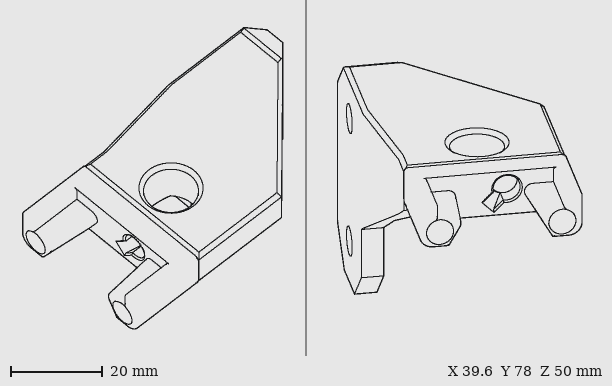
import cadquery as cq
import math


bracket_right = 39.5
bracket_front = 19.0
bracket_back = 78.0
bracket_height = 50.0
plate_thickness = 5.0
plate_width = 28.0
plate_corner_cut = 8.0
flange_thickness = 10.5
gusset_leg = 12.0
neck_left = 3.5
neck_back = 25.0
taper_back = 48.0
diagonal_front = 44.15
underside_low_z = -30.2
top_chamfer = 1.0
flange_fillet = 3.0
plate_front = bracket_back - plate_width

mount_hole_diameter = 6.6
mount_hole_y = bracket_back - plate_width / 2
upper_mount_hole_z = -10.0
lower_mount_hole_z = -40.0
screw_head_bore_diameter = 11.0

top_hole_diameter = 12.0
top_hole_x = 21.5
top_hole_y = 28.0
top_hole_chamfer = 1.0

fork_left = 3.45
fork_right = 39.63
fork_back = 18.75
fork_height = flange_thickness
fork_center_x = (fork_left + fork_right) / 2
arm_length = 13.0
fork_top_fillet = 1.0
fork_bottom_fillet = 3.0
tip_fillet = 0.6

arm_wall = 4.0
half_width = (fork_right - fork_left) / 2
half_window = half_width - arm_wall
wall_top_fillet = 0.6
shelf_depth = 3.5
nose_radius = 1.8
nose_reach_tip = 9.2
nose_reach_root = 10.45
flank_angle = math.radians(30)

screw_offset_x = 13.6
screw_z = -6.8
head_bore_diameter = 6.0
head_bore_depth = 15.0
screw_hole_diameter = 3.4

magnet_diameter = 6.0
magnet_depth = 4.0
magnet_x = 25.3
magnet_z = -4.2
pry_slot_width = 3.0
pry_slot_reach = 5.6
pry_slot_angle = 225
pocket_chamfer = 0.4
pry_floor_run = 3.0


def bracket_plan():
    """Outline seen from above, extruded over the full height."""
    return (
        cq.Workplane("XY")
        .polyline([
            (0, bracket_back),
            (plate_thickness, bracket_back),
            (bracket_right, diagonal_front),
            (bracket_right, bracket_front),
            (neck_left, bracket_front),
            (neck_left, neck_back),
            (0, taper_back),
        ])
        .close()
        .extrude(-bracket_height)
    )


def bracket_side():
    """Side outline: octagonal plate end with a sloping underside toward the fork."""
    return (
        cq.Workplane("YZ")
        .polyline([
            (bracket_front, 0),
            (bracket_back - plate_corner_cut, 0),
            (bracket_back, -plate_corner_cut),
            (bracket_back, plate_corner_cut - bracket_height),
            (bracket_back - plate_corner_cut, -bracket_height),
            (plate_front + plate_corner_cut, -bracket_height),
            (plate_front, plate_corner_cut - bracket_height),
            (plate_front, underside_low_z),
            (bracket_front, -flange_thickness),
        ])
        .close()
        .extrude(bracket_right)
    )


def bracket_section():
    """L section of plate and flange with a gusset in the corner and a rounded flange edge."""
    flange_corner = (bracket_right, bracket_back / 2, -flange_thickness)
    return (
        cq.Workplane("XZ")
        .polyline([
            (0, 0),
            (bracket_right, 0),
            (bracket_right, -flange_thickness),
            (plate_thickness + gusset_leg, -flange_thickness),
            (plate_thickness, -flange_thickness - gusset_leg),
            (plate_thickness, -bracket_height),
            (0, -bracket_height),
        ])
        .close()
        .extrude(-bracket_back)
        .edges(cq.selectors.NearestToPointSelector(flange_corner))
        .fillet(flange_fillet)
    )


def make_bracket():
    body = bracket_plan().intersect(bracket_side()).intersect(bracket_section())
    body = body.faces(">Z").edges().chamfer(top_chamfer)
    top_hole = (
        cq.Workplane("XY")
        .center(top_hole_x, top_hole_y)
        .circle(top_hole_diameter / 2)
        .extrude(-bracket_height)
    )
    countersink = (
        cq.Workplane("XY")
        .center(top_hole_x, top_hole_y)
        .circle(top_hole_diameter / 2 + top_hole_chamfer)
        .workplane(offset=-top_hole_chamfer)
        .circle(top_hole_diameter / 2)
        .loft()
    )
    mount_holes = (
        cq.Workplane("YZ")
        .pushPoints([(mount_hole_y, upper_mount_hole_z), (mount_hole_y, lower_mount_hole_z)])
        .circle(mount_hole_diameter / 2)
        .extrude(bracket_right)
    )
    head_bore = (
        cq.Workplane("YZ", origin=(plate_thickness, mount_hole_y, upper_mount_hole_z))
        .circle(screw_head_bore_diameter / 2)
        .extrude(bracket_right - plate_thickness)
    )
    return body.cut(top_hole).cut(countersink).cut(mount_holes).cut(head_bore)


def window_wire(y, nose_reach):
    """Opening between the two arms at one Y; nose_reach is how far each nose juts inward."""
    half_nose = half_width - nose_reach
    arc_x = half_nose + nose_radius
    arc_z = -shelf_depth - nose_radius
    reach_x = nose_radius * math.cos(flank_angle)
    reach_z = nose_radius * math.sin(flank_angle)
    tangent_x = arc_x - reach_x
    tangent_z = arc_z - reach_z
    foot_x = tangent_x + (tangent_z + fork_height) * math.tan(flank_angle)
    return (
        cq.Workplane("XZ", origin=(fork_center_x, y, 0))
        .moveTo(-half_window, 0)
        .lineTo(-half_window, -shelf_depth)
        .lineTo(-arc_x, -shelf_depth)
        .threePointArc((-arc_x + reach_x, arc_z + reach_z), (-tangent_x, tangent_z))
        .lineTo(-foot_x, -fork_height)
        .lineTo(foot_x, -fork_height)
        .lineTo(tangent_x, tangent_z)
        .threePointArc((arc_x - reach_x, arc_z + reach_z), (arc_x, -shelf_depth))
        .lineTo(half_window, -shelf_depth)
        .lineTo(half_window, 0)
        .close()
        .wire()
        .val()
    )


def fork_blank():
    blank = cq.Workplane("XY").box(
        fork_right - fork_left, fork_back, fork_height, centered=False
    ).translate((fork_left, 0, -fork_height))
    blank = blank.edges("|Y and >Z").fillet(fork_top_fillet)
    return blank.edges("|Y and <Z").fillet(fork_bottom_fillet)


def magnet_pocket():
    """Blind magnet hole with a diagonal pry slot, both with a chamfered mouth."""
    face = cq.Workplane("XZ", origin=(magnet_x, arm_length, magnet_z))
    hole = face.circle(magnet_diameter / 2).extrude(-magnet_depth)
    mouth = face.circle(magnet_diameter / 2 + pocket_chamfer).extrude(
        -pocket_chamfer, taper=45
    )
    ramp = (
        cq.Workplane("XY", origin=(magnet_x, arm_length, magnet_z - pry_slot_width / 2))
        .polyline([
            (0, 0),
            (pry_slot_reach, 0),
            (pry_slot_reach, pocket_chamfer),
            (pry_slot_reach - pry_floor_run, magnet_depth),
            (0, magnet_depth),
        ])
        .close()
        .extrude(pry_slot_width)
    )
    slot_mouth = (
        face.center((pry_slot_reach + pocket_chamfer) / 2, 0)
        .rect(pry_slot_reach + pocket_chamfer, pry_slot_width + 2 * pocket_chamfer)
        .extrude(-pocket_chamfer, taper=45)
    )
    slot = ramp.union(slot_mouth).rotate(
        (magnet_x, 0, magnet_z), (magnet_x, -1, magnet_z), pry_slot_angle
    )
    return hole.union(mouth).union(slot)


def make_fork():
    window = cq.Solid.makeLoft(
        [window_wire(0, nose_reach_tip), window_wire(arm_length, nose_reach_root)], True
    )
    body = fork_blank().cut(cq.Workplane(window))
    for side in (-1, 1):
        edge_point = (fork_center_x + side * half_window, arm_length / 2, 0)
        top_edge = cq.selectors.NearestToPointSelector(edge_point)
        body = body.edges(top_edge).fillet(wall_top_fillet)
    body = body.faces("<Y").edges().fillet(tip_fillet)
    bores = cq.Workplane("XZ", origin=(fork_center_x, 0, screw_z)).pushPoints(
        [(-screw_offset_x, 0), (screw_offset_x, 0)]
    )
    body = body.cut(bores.circle(head_bore_diameter / 2).extrude(-head_bore_depth))
    body = body.cut(bores.circle(screw_hole_diameter / 2).extrude(-fork_back))
    return body.cut(magnet_pocket())


bracket = make_bracket()
fork = make_fork()
result = cq.Compound.makeCompound([bracket.val(), fork.val()])